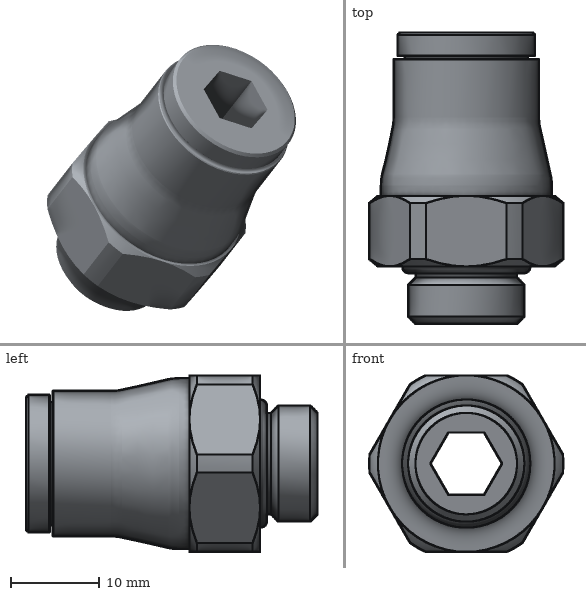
import cadquery as cq
import math


hex_across_flats = 20.0
hex_corner_radius = 11.0
hex_length = 8.0
mid_hex = hex_length / 2
hex_chamfer_angle = 40.0

spigot_length = 6.5
thread_radius = 6.58
thread_chamfer = 0.83
relief_length = 2.08
relief_radius = thread_radius - thread_chamfer

ring_section_radius = 0.78
ring_radius = 6.48

rear_end = 26.5
sleeve_root_radius = 9.7
sleeve_radius = 8.25
taper_start = 9.75
taper_end = 16.2
taper_blend_radius = 5.6
sleeve_end = 23.5
sleeve_edge_chamfer = 0.1

collar_radius = 7.8
collar_neck_radius = 7.0
collar_start = 23.8
collar_front_chamfer = 0.1
collar_rear_chamfer = 0.3

socket_across_flats = 7.0


def revolve_about_y(profile):
    """Turn a closed (radius, Y) profile one full turn about the Y axis."""
    return profile.close().revolve(360, (0, 0, 0), (0, 1, 0))


def hex_prism(across_flats, start, end):
    """Hexagonal prism along Y with two corners on the X axis."""
    across_corners = across_flats / math.cos(math.pi / 6)
    sketch = cq.Workplane("XZ", origin=(0, start, 0)).polygon(6, across_corners)
    return sketch.extrude(start - end)


def make_wrench_hexagon():
    """Hexagon with rounded-off corners and a conical chamfer at both ends."""
    face_radius = hex_across_flats / 2
    chamfer_length = (hex_corner_radius - face_radius) * math.tan(math.radians(hex_chamfer_angle))
    envelope = revolve_about_y(
        cq.Workplane("XY")
        .moveTo(0, 0)
        .lineTo(face_radius, 0)
        .lineTo(hex_corner_radius, chamfer_length)
        .lineTo(hex_corner_radius, hex_length - chamfer_length)
        .lineTo(face_radius, hex_length)
        .lineTo(0, hex_length)
    )
    return hex_prism(hex_across_flats, 0, hex_length).intersect(envelope)


def make_threaded_spigot():
    """Plain thread cylinder, chamfered at the tip and at the undercut below the hexagon."""
    tip = -spigot_length
    return revolve_about_y(
        cq.Workplane("XY")
        .moveTo(0, tip)
        .lineTo(thread_radius - thread_chamfer, tip)
        .lineTo(thread_radius, tip + thread_chamfer)
        .lineTo(thread_radius, -relief_length)
        .lineTo(relief_radius, -relief_length + thread_chamfer)
        .lineTo(relief_radius, mid_hex)
        .lineTo(0, mid_hex)
    )


def make_o_ring():
    """Full torus whose inner side just overlaps the relief of the spigot."""
    return cq.Workplane("XY").center(ring_radius, 0).circle(ring_section_radius).revolve(
        360, (-ring_radius, 0, 0), (-ring_radius, 1, 0)
    )


def make_sleeve():
    """Tapered sleeve with blended ends of the taper, then the release collar."""
    taper_angle = math.atan2(sleeve_root_radius - sleeve_radius, taper_end - taper_start)
    tangent = taper_blend_radius * math.tan(taper_angle / 2)
    tangent_radial = tangent * math.sin(taper_angle)
    tangent_axial = tangent * math.cos(taper_angle)
    return revolve_about_y(
        cq.Workplane("XY")
        .moveTo(0, mid_hex)
        .lineTo(sleeve_root_radius, mid_hex)
        .lineTo(sleeve_root_radius, taper_start - tangent)
        .radiusArc(
            (sleeve_root_radius - tangent_radial, taper_start + tangent_axial),
            -taper_blend_radius,
        )
        .lineTo(sleeve_radius + tangent_radial, taper_end - tangent_axial)
        .radiusArc((sleeve_radius, taper_end + tangent), taper_blend_radius)
        .lineTo(sleeve_radius, sleeve_end - sleeve_edge_chamfer)
        .lineTo(sleeve_radius - sleeve_edge_chamfer, sleeve_end)
        .lineTo(collar_neck_radius, sleeve_end)
        .lineTo(collar_neck_radius, collar_start)
        .lineTo(collar_radius - collar_front_chamfer, collar_start)
        .lineTo(collar_radius, collar_start + collar_front_chamfer)
        .lineTo(collar_radius, rear_end - collar_rear_chamfer)
        .lineTo(collar_radius - collar_rear_chamfer, rear_end)
        .lineTo(0, rear_end)
    )


body = make_wrench_hexagon().union(make_threaded_spigot()).union(make_o_ring()).union(make_sleeve())
result = body.cut(hex_prism(socket_across_flats, -spigot_length, rear_end))